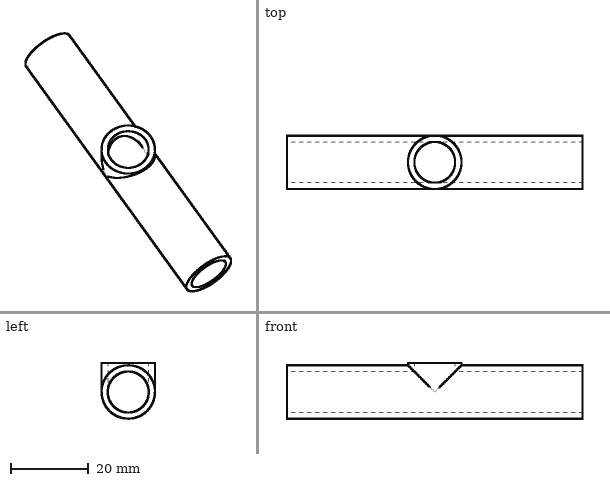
import cadquery as cq

run_length = 76.2
outer_diameter = 13.8
bore_diameter = 10.5
overall_height = 14.4

branch_height = overall_height - outer_diameter / 2


def run_cylinder(diameter):
    """Cylinder along X, centred on the origin."""
    return cq.Workplane("YZ").circle(diameter / 2).extrude(run_length / 2, both=True)


def branch_cylinder(diameter):
    """Cylinder along Z, from the run axis up to the branch rim."""
    return cq.Workplane("XY").circle(diameter / 2).extrude(branch_height)


body = run_cylinder(outer_diameter).union(branch_cylinder(outer_diameter))
result = body.cut(run_cylinder(bore_diameter)).cut(branch_cylinder(bore_diameter))